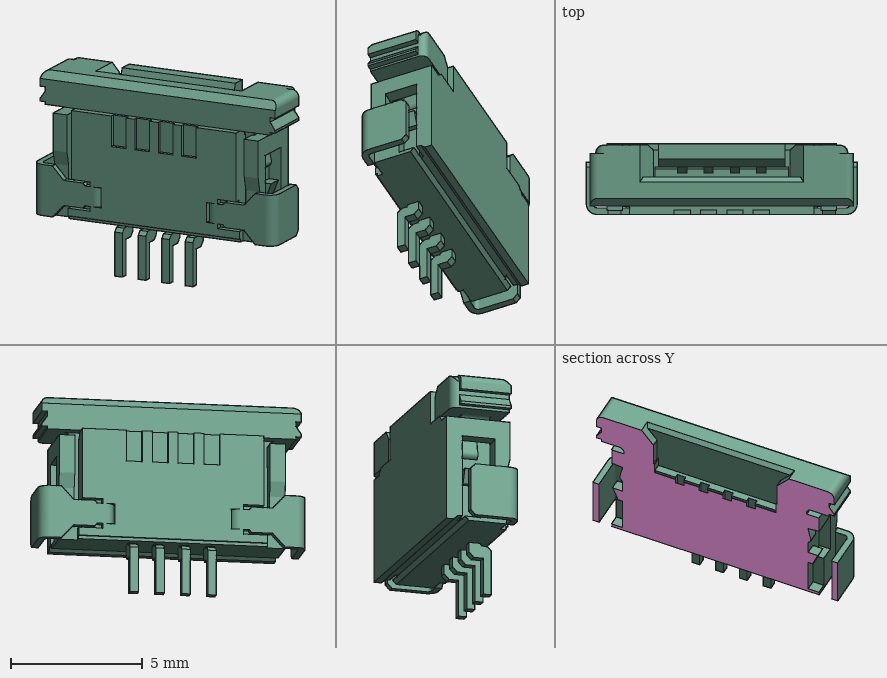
import cadquery as cq


half_width = 5.15
depth = 2.7
top_z = 5.6
pin_tip_z = -2.0

ear_half = 4.37
ear_front = 0.15
ear_top = 4.06
block_bottom = 0.12
lip_front = 0.08
block_half = 3.5
block_top = 4.31
block_back = 0.76
block_bevel = 0.16
block_bevel_drop = block_top - ear_top
groove_half = 3.77
ear_relief_y = 0.3
ear_relief_top = 2.58
ear_relief_bottom = 2.01
channel_top = 0.15
channel_front = 1.8
channel_back = 2.4
channel_slope = 0.15
back_wall_front = 2.45

guide_half = 2.41
guide_crest_front = 2.11
guide_front = 1.8
guide_bevel_bottom = 4.8
cable_half = 2.54
cable_front = 1.43
cable_floor = 3.71
cable_step_y = 1.74
cable_step_floor = 3.6

pin_count = 4
pitch = 1.0
pin_width = 0.33
contact_width = 0.35
contact_front = 1.58
contact_bottom = 2.99
front_slot_width = 0.62
front_slot_depth = 0.16
front_slot_bottom = 3.1
pin_thickness = 0.32
pin_back = 0.9
pin_bend_bottom = -0.58
pin_back_bevel = 0.2
pin_front_bevel = 0.15
pin_shoulder_z = -0.1
pin_neck_front = 0.45
pin_neck_bevel_y = 0.06
pin_neck_bevel_z = -0.09

lock_half = 5.01
lock_neck_half = 4.79
lock_front = 0.32
lock_shoulder_back = 2.33
lock_back = 2.64
lock_bottom = block_top
lock_round = 0.3
lock_groove_top = 5.0
lock_groove_slope_top = 4.82
lock_rib_top = 4.51
lock_rib_bottom = 4.41
mouth_half = 3.1
mouth_front = 1.25
throat_half = 2.6
mouth_slope_bottom = 5.03
mouth_front_bevel_drop = 0.12
throat_chamfer_x = 0.21
throat_chamfer_y = 0.19

leg_half = 3.85
leg_front = 0.81
leg_back = 1.97
leg_fillet = 0.19
pad_half = 3.91
catch_front = 1.33
catch_back = 1.95
upper_catch_half = 4.03
upper_catch_tip_z = 2.79
upper_catch_bottom = 2.58
lower_catch_half = 4.33
lower_catch_base_half = 4.1
lower_catch_top = 2.07
lower_catch_bottom = 1.51

window_front = 0.75
window_back = 2.06
window_top = 3.34
window_inner_top = 3.28
window_floor = 3.75
ledge_top = 1.57

clip_thickness = 0.26
clip_radius = 0.41
clip_back = 1.99
clip_corner = 0.19
clip_top = 2.02
clip_mid = clip_top / 2
clip_shoulder = 4.32
arm_shoulder = 3.83
arm_half_height = 0.49
arm_tip_half_height = 0.39
arm_taper_start = 3.02
arm_taper_end = 2.94
arm_notch_end = 2.72
arm_notch_half_height = 0.58
arm_notch_wide = 3.65
bend_start = 2.56
bend_radius = 0.32


def box(x0, x1, y0, y1, z0, z1):
    return cq.Workplane("XY").box(x1 - x0, y1 - y0, z1 - z0, centered=False).translate((x0, y0, z0))


def centered_box(half, y0, y1, z0, z1):
    return box(-half, half, y0, y1, z0, z1)


def side_prism(points, x0, x1):
    """Extrude a (Y, Z) outline from x0 to x1."""
    return cq.Workplane("YZ", origin=(x0, 0, 0)).polyline(points).close().extrude(x1 - x0)


def front_prism(points, y0, y1):
    """Extrude an (X, Z) outline from y0 to y1."""
    return cq.Workplane("XZ", origin=(0, y0, 0)).polyline(points).close().extrude(y0 - y1)


def mirrored(right_side):
    """Return a feature on the +X side together with its mirror image."""
    return right_side.union(right_side.mirror("YZ"))


def symmetric_outline(right_points):
    """Complete an outline given from top to bottom along its +X side."""
    return right_points + [(-x, z) for x, z in reversed(right_points)]


def at_each_contact(shape):
    """Repeat a shape drawn around X = 0 at every contact position."""
    group = cq.Workplane("XY")
    for index in range(pin_count):
        x = (index - (pin_count - 1) / 2) * pitch
        group = group.union(shape.translate((x, 0, 0)))
    return group


def make_housing():
    body = side_prism(
        [
            (ear_front, ear_top),
            (depth, ear_top),
            (depth, 0),
            (channel_back, 0),
            (channel_back - channel_slope, channel_top),
            (channel_front + channel_slope, channel_top),
            (channel_front, 0),
            (ear_relief_y, 0),
            (ear_relief_y, ear_relief_bottom),
            (ear_front, ear_relief_top),
        ],
        -ear_half,
        ear_half,
    )
    groove_bottom = clip_mid - arm_half_height
    grooves = mirrored(box(block_half, groove_half, 0, leg_front, groove_bottom, ear_top))
    block = side_prism(
        [
            (0, block_bottom),
            (block_back, block_bottom),
            (block_back, block_top - block_bevel_drop),
            (block_back - block_bevel, block_top),
            (0, block_top),
        ],
        -block_half,
        block_half,
    )
    lower_notch_z = clip_mid - arm_notch_half_height
    block_base = centered_box(arm_notch_wide, 0, ear_relief_y, block_bottom, lower_notch_z)
    lip = centered_box(arm_notch_wide, lip_front, ear_relief_y, 0, block_bottom)
    back_wall = front_prism(
        symmetric_outline([(block_half, block_top), (groove_half, ear_top)]),
        back_wall_front,
        depth,
    )
    return body.cut(grooves).union(block).union(block_base).union(lip).union(back_wall)


def make_ear_windows():
    soffit = [
        (window_floor, channel_top),
        (ear_half, channel_top),
        (ear_half, window_top),
        (window_floor, window_inner_top),
    ]
    window = front_prism(soffit, window_front, window_back)
    ledge = box(window_floor, ear_half, window_front, catch_front, channel_top, ledge_top)
    return mirrored(window.cut(ledge))


def make_guide():
    return side_prism(
        [
            (guide_front, cable_step_floor),
            (depth, cable_step_floor),
            (depth, top_z),
            (guide_crest_front, top_z),
            (guide_front, guide_bevel_bottom),
        ],
        -guide_half,
        guide_half,
    )


def make_front_slots():
    return at_each_contact(
        centered_box(front_slot_width / 2, 0, front_slot_depth, front_slot_bottom, block_top)
    )


def make_lock():
    shoulder_outline = symmetric_outline(
        [
            (lock_half, top_z),
            (lock_half, lock_groove_top),
            (lock_neck_half, lock_groove_top),
            (lock_neck_half, lock_groove_slope_top),
            (lock_half, lock_rib_top),
            (lock_half, lock_rib_bottom),
            (lock_neck_half, lock_rib_bottom),
            (lock_neck_half, lock_bottom),
        ]
    )
    shoulder = front_prism(shoulder_outline, lock_front, lock_shoulder_back)
    shoulder = shoulder.faces(">Z").edges("|Y").fillet(lock_round)
    front_bevel = side_prism(
        [(lock_front, top_z), (lock_front + lock_round, top_z), (lock_front, top_z - lock_round)],
        -lock_half,
        lock_half,
    )

    rear = centered_box(lock_neck_half, lock_front + lock_round, lock_back, lock_bottom, top_z)
    round_topped = rear.faces(">Z").edges("|Y").fillet(lock_round)
    round_backed = rear.faces(">Y").edges("|Z").fillet(lock_round)
    rear = round_topped.intersect(round_backed)
    return shoulder.cut(front_bevel).union(rear).cut(make_mouth())


def make_mouth():
    """Cable opening through the lock, open at the back and widening upwards."""
    across = front_prism(
        symmetric_outline(
            [(mouth_half, top_z), (throat_half, mouth_slope_bottom), (throat_half, lock_bottom)]
        ),
        mouth_front,
        lock_back,
    )
    along = side_prism(
        [
            (mouth_front, top_z),
            (cable_front, top_z - mouth_front_bevel_drop),
            (cable_front, lock_bottom),
            (lock_back, lock_bottom),
            (lock_back, top_z),
        ],
        -mouth_half,
        mouth_half,
    )
    rear_corner = (
        cq.Workplane("XY", origin=(0, 0, lock_bottom))
        .moveTo(throat_half, lock_back)
        .lineTo(throat_half + throat_chamfer_x, lock_back)
        .lineTo(throat_half, lock_back - throat_chamfer_y)
        .close()
        .extrude(top_z - lock_bottom)
    )
    return across.intersect(along).union(mirrored(rear_corner))


def make_leg():
    """Lock leg on the +X side, flared where it joins the lock."""
    return (
        cq.Workplane("XZ", origin=(0, leg_front, 0))
        .moveTo(throat_half, channel_top)
        .lineTo(pad_half, channel_top)
        .lineTo(pad_half, window_top)
        .lineTo(leg_half, window_top)
        .lineTo(leg_half, lock_bottom - leg_fillet)
        .radiusArc((leg_half + leg_fillet, lock_bottom), leg_fillet)
        .lineTo(throat_half, lock_bottom)
        .close()
        .extrude(leg_front - leg_back)
    )


def make_catches():
    upper = (
        cq.Workplane("XZ", origin=(0, catch_front, 0))
        .moveTo(pad_half, window_inner_top)
        .lineTo(upper_catch_half, upper_catch_tip_z)
        .radiusArc((pad_half, upper_catch_bottom), upper_catch_tip_z - upper_catch_bottom)
        .close()
        .extrude(catch_front - catch_back)
    )
    lower = front_prism(
        [
            (pad_half, lower_catch_top),
            (lower_catch_half, lower_catch_top),
            (lower_catch_base_half, lower_catch_bottom),
            (pad_half, lower_catch_bottom),
        ],
        catch_front,
        catch_back,
    )
    return mirrored(upper.union(lower))


def make_cable_slot():
    slot = centered_box(cable_half, cable_front, guide_front, cable_floor, lock_bottom)
    step = centered_box(cable_half, cable_step_y, guide_front, cable_step_floor, cable_floor)
    contact_ramp = side_prism(
        [
            (contact_front, cable_floor),
            (contact_front, contact_bottom),
            (guide_front, cable_step_floor),
            (guide_front, cable_floor),
        ],
        -contact_width / 2,
        contact_width / 2,
    )
    return slot.union(step).union(at_each_contact(contact_ramp))


def make_arm_notches():
    """Clearance in the housing around each clip arm."""
    return mirrored(
        box(
            arm_notch_end,
            arm_notch_wide,
            0,
            clip_thickness,
            clip_mid - arm_notch_half_height,
            clip_mid + arm_notch_half_height,
        )
    )


def make_clip():
    """Clip on the +X side: a bent strip trimmed to its arm outline."""
    strip = box(arm_notch_end, half_width, 0, clip_back, 0, clip_top)
    strip = strip.edges("|Z and >X and <Y").fillet(clip_radius)
    hollow = box(0, half_width - clip_thickness, clip_thickness, clip_back, 0, clip_top)
    hollow = hollow.edges("|Z and >X and <Y").fillet(clip_radius - clip_thickness)

    upper_edge = [
        (arm_notch_end, arm_tip_half_height),
        (arm_taper_end, arm_tip_half_height),
        (arm_taper_start, arm_half_height),
        (arm_shoulder, arm_half_height),
        (clip_shoulder, clip_mid),
        (half_width, clip_mid),
    ]
    outline = [(x, clip_mid + h) for x, h in upper_edge]
    outline += [(x, clip_mid - h) for x, h in reversed(upper_edge)]
    strip = strip.cut(hollow).intersect(front_prism(outline, 0, clip_back))
    return strip.faces(">Y").edges("|X").chamfer(clip_corner)


def make_bend_openings():
    """Openings that expose the inward bend at the end of each arm."""
    opening = (
        cq.Workplane("XY", origin=(0, 0, clip_mid - arm_tip_half_height))
        .moveTo(bend_start, 0)
        .lineTo(bend_start - bend_radius, 0)
        .lineTo(bend_start - bend_radius, bend_radius)
        .radiusArc((bend_start, 0), -bend_radius)
        .close()
        .extrude(2 * arm_tip_half_height)
    )
    return mirrored(opening)


def make_pins():
    pin = side_prism(
        [
            (pin_back, channel_top),
            (pin_back, pin_bend_bottom + pin_back_bevel),
            (pin_back - pin_back_bevel, pin_bend_bottom),
            (pin_thickness, pin_bend_bottom),
            (pin_thickness, pin_tip_z),
            (0, pin_tip_z),
            (0, pin_shoulder_z - pin_front_bevel),
            (pin_front_bevel, pin_shoulder_z),
            (pin_neck_front - pin_neck_bevel_y, pin_neck_bevel_z),
            (pin_neck_front, 0),
            (pin_neck_front, channel_top),
        ],
        -pin_width / 2,
        pin_width / 2,
    )
    return at_each_contact(pin)


housing = make_housing().cut(make_front_slots()).cut(make_arm_notches()).cut(make_ear_windows())
plug = centered_box(throat_half, leg_front, cable_front, cable_floor, lock_bottom)
lock = make_lock().union(plug).union(mirrored(make_leg())).union(make_catches())
connector = housing.union(lock).cut(make_cable_slot()).union(make_guide())
connector = connector.union(mirrored(make_clip())).cut(make_bend_openings())
result = connector.union(make_pins())